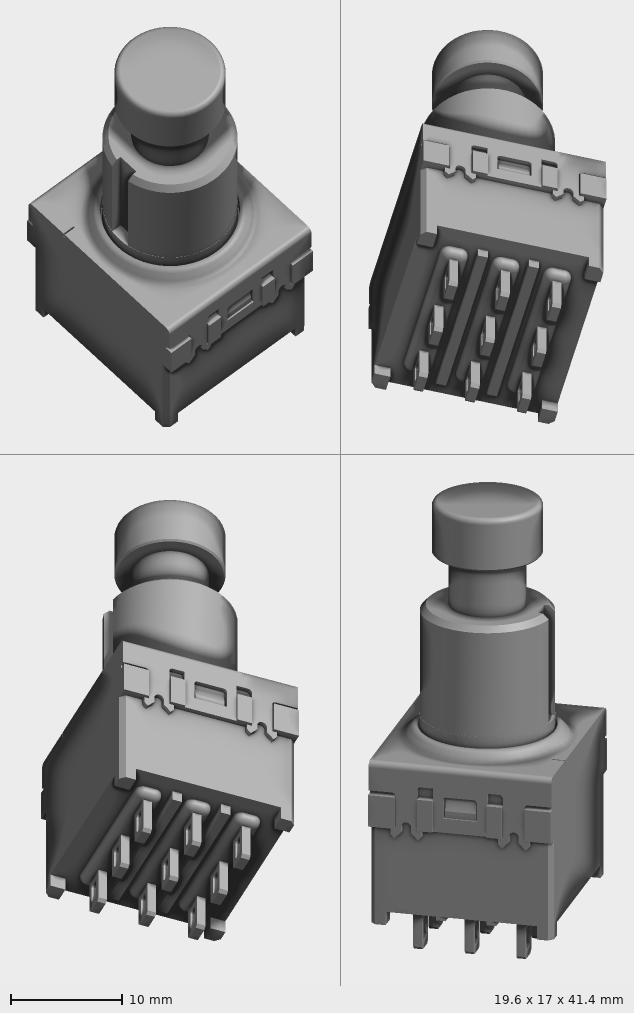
import cadquery as cq
import math


plunger_top = 22.5
terminal_bottom = -18.9

cap_dia = 10.0
cap_height = 5.0
cap_face_dia = 9.0
cap_bottom_chamfer = 0.15
stem_dia = 7.0
bushing_dia = 12.2
bushing_upper_dia = 12.17
bushing_top = 12.5
bushing_chamfer = 0.55
keyway_width = 2.15
keyway_floor = 2.0
keyway_depth = 1.1

collar_hole_radius = 6.3
collar_base_radius = 7.95
collar_height = 0.95
collar_slope = math.radians(45)
collar_bend_radius = 0.8

depth = 17.0
housing_width = 18.15
housing_bottom = -14.5
foot_bottom = -15.77
foot_length_x = 1.55
foot_length_y = 1.45
corner_chamfer = 0.45

sheet = 0.5
cover_width = housing_width + 2 * sheet
cover_bend_radius = 0.55
bend_end = -2 * sheet
housing_top_chamfer = 0.3
notch_left = -6.3
notch_width = 1.6
notch_length = 1.2
key_width = 1.45

ear_span = 19.6
ear_top = -3.15
ear_bottom = -6.15
outer_ear_start = 6.1
inner_ear_start = 2.53
inner_ear_end = 3.95

corner_cut_top = -2.77
corner_cut_radius = 0.35
slot_top = -2.03
slot_corner_radius = 0.37
leg_center = 5.0
leg_half_width = 1.0
barb_half_width = 1.45
barb_top = -6.25
barb_side_end = -6.8
barb_tip = -7.15
barb_tip_offset = 1.1
fork_half_width = 0.45
fork_bottom = -6.5
fork_top = -5.5

window_width = 3.15
window_top = -2.77
window_bottom = -4.8
window_corner_radius = 0.3
catch_width = 2.85
catch_slope_end = -4.15
catch_depth = 0.35

mound_length = 14.25
mound_width = 2.55
mound_bottom = -15.4
mound_round = 0.83
mound_bottom_round = 0.8
rib_length = 14.9
rib_width = 0.9
rib_center = 2.35
rib_bottom = -15.5
terminal_pitch_x = 5.3
terminal_pitch_y = 4.8
terminal_width = 2.1
terminal_thickness = 0.83
terminal_chamfer = 0.3
eye_width = 1.08
eye_top = -16.1
eye_bottom = -18.15
eye_fillet = 0.35


def block(x_range, y_range, z_range):
    """Axis-aligned box between the given limits."""
    (x0, x1), (y0, y1), (z0, z1) = x_range, y_range, z_range
    return cq.Workplane("XY").box(x1 - x0, y1 - y0, z1 - z0, centered=False).translate((x0, y0, z0))


def centered_block(length, width, z_range, center=(0, 0)):
    """Box given by its plan size, its height limits and its plan center."""
    x, y = center
    return block((x - length / 2, x + length / 2), (y - width / 2, y + width / 2), z_range)


def cylinder(diameter, bottom, top):
    """Cylinder about the plunger axis between two heights."""
    return cq.Workplane("XY").workplane(offset=bottom).circle(diameter / 2).extrude(top - bottom)


def both_sides(body, plane):
    """Body together with its mirror image."""
    return body.union(body.mirror(plane))


def make_plunger():
    cap_bottom = plunger_top - cap_height
    cap = cylinder(cap_dia, cap_bottom, plunger_top)
    cap = cap.faces(">Z").edges().fillet((cap_dia - cap_face_dia) / 2)
    cap = cap.faces("<Z").edges().chamfer(cap_bottom_chamfer)
    stem = cylinder(stem_dia, bushing_top, cap_bottom)
    return cap.union(stem)


def make_bushing():
    base = cylinder(bushing_dia, -sheet, keyway_floor)
    upper = cylinder(bushing_upper_dia, keyway_floor, bushing_top)
    upper = upper.faces(">Z").edges().chamfer(bushing_chamfer)
    keyway_inner = -(bushing_dia / 2 - keyway_depth)
    keyway = block(
        (-keyway_width / 2, keyway_width / 2),
        (-bushing_dia / 2, keyway_inner),
        (keyway_floor, bushing_top),
    )
    return base.union(upper.cut(keyway))


def make_collar():
    bend_run = collar_bend_radius * math.sin(collar_slope)
    bend_rise = collar_bend_radius * (1 - math.cos(collar_slope))
    slope_run = (collar_height - 2 * bend_rise) / math.tan(collar_slope)
    slope_start_r = collar_base_radius - bend_run
    slope_end_r = slope_start_r - slope_run
    rim_r = slope_end_r - bend_run
    profile = (
        cq.Workplane("XZ")
        .moveTo(collar_hole_radius, -sheet)
        .lineTo(collar_base_radius, -sheet)
        .lineTo(collar_base_radius, 0)
        .radiusArc((slope_start_r, bend_rise), collar_bend_radius)
        .lineTo(slope_end_r, collar_height - bend_rise)
        .radiusArc((rim_r, collar_height), -collar_bend_radius)
        .lineTo(collar_hole_radius, collar_height)
        .close()
    )
    return profile.revolve(360, (0, 0, 0), (0, 1, 0))


def key_block(width):
    """Block through the cover thickness at the front edge, for the key and for its notch."""
    return block(
        (notch_left, notch_left + width),
        (-depth / 2, -depth / 2 + notch_length),
        (-sheet, 0),
    )


def make_ear(y_start, y_end):
    return block((-ear_span / 2, ear_span / 2), (y_start, y_end), (ear_bottom, ear_top))


def make_catch():
    """Wedge that locks into the cover window on the +X side."""
    face_x = housing_width / 2
    return (
        cq.Workplane("XZ")
        .moveTo(face_x - sheet, ear_top)
        .lineTo(face_x, ear_top)
        .lineTo(face_x + catch_depth, catch_slope_end)
        .lineTo(face_x + catch_depth, window_bottom)
        .lineTo(face_x - sheet, window_bottom)
        .close()
        .extrude(catch_width / 2, both=True)
    )


def make_housing():
    upper = centered_block(housing_width, depth, (ear_bottom, -sheet))
    upper = upper.faces(">Z").edges("|Y").chamfer(housing_top_chamfer)
    lower = centered_block(housing_width, depth, (foot_bottom, ear_bottom))
    lower = lower.edges("|Z").chamfer(corner_chamfer)
    foot_gap = (foot_bottom, housing_bottom)
    lower = lower.cut(centered_block(housing_width - 2 * foot_length_x, depth, foot_gap))
    lower = lower.cut(centered_block(housing_width, depth - 2 * foot_length_y, foot_gap))
    ears = make_ear(outer_ear_start, depth / 2).union(make_ear(inner_ear_start, inner_ear_end))
    return (
        upper.union(lower)
        .union(both_sides(ears, "XZ"))
        .union(both_sides(make_catch(), "YZ"))
        .union(key_block(key_width))
    )


def make_cover_side():
    """Sheet on the +X side with its corner cuts, slots, forked legs and window."""
    leg_outer = leg_center + leg_half_width
    leg_inner = leg_center - leg_half_width
    tip_outer = leg_center + barb_tip_offset
    tip_inner = leg_center - barb_tip_offset
    barb_outer = leg_center + barb_half_width
    barb_inner = leg_center - barb_half_width
    fork_side_end = fork_top - fork_half_width
    half = (
        cq.Workplane("YZ")
        .workplane(offset=housing_width / 2)
        .moveTo(0, bend_end)
        .lineTo(depth / 2, bend_end)
        .lineTo(depth / 2, corner_cut_top)
        .lineTo(leg_outer + corner_cut_radius, corner_cut_top)
        .radiusArc((leg_outer, corner_cut_top - corner_cut_radius), -corner_cut_radius)
        .lineTo(leg_outer, barb_top)
        .lineTo(barb_outer, barb_top)
        .lineTo(barb_outer, barb_side_end)
        .lineTo(tip_outer, barb_tip)
        .lineTo(leg_center + fork_half_width, fork_bottom)
        .lineTo(leg_center + fork_half_width, fork_side_end)
        .threePointArc((leg_center, fork_top), (leg_center - fork_half_width, fork_side_end))
        .lineTo(leg_center - fork_half_width, fork_bottom)
        .lineTo(tip_inner, barb_tip)
        .lineTo(barb_inner, barb_side_end)
        .lineTo(barb_inner, barb_top)
        .lineTo(leg_inner, barb_top)
        .lineTo(leg_inner, slot_top - slot_corner_radius)
        .radiusArc((leg_inner - slot_corner_radius, slot_top), -slot_corner_radius)
        .lineTo(inner_ear_start, slot_top)
        .lineTo(inner_ear_start, ear_bottom)
        .lineTo(0, ear_bottom)
        .close()
        .extrude(sheet)
    )
    window = block(
        (housing_width / 2, cover_width / 2),
        (-window_width / 2, window_width / 2),
        (window_bottom, window_top),
    )
    window = window.faces(">Z").edges("|X").fillet(window_corner_radius)
    return both_sides(half, "XZ").cut(window)


def make_cover_top():
    """Bent top sheet that wraps over the housing, with the key notch in its -Y edge."""
    top = centered_block(cover_width, depth, (bend_end, 0))
    top = top.faces(">Z").edges("|Y").fillet(cover_bend_radius)
    inside = centered_block(housing_width, depth, (bend_end, -sheet))
    inside = inside.faces(">Z").edges("|Y").chamfer(housing_top_chamfer)
    opening = cylinder(2 * collar_hole_radius, -sheet, 0)
    return top.cut(inside).cut(key_block(notch_width)).cut(opening)


def make_terminal():
    """Solder terminal at the origin of the plan, with an eye through its thickness."""
    blade = centered_block(terminal_width, terminal_thickness, (terminal_bottom, housing_bottom))
    blade = blade.faces("<Z").edges("|Y").chamfer(terminal_chamfer)
    eye = centered_block(eye_width, terminal_thickness, (eye_bottom, eye_top))
    eye = eye.edges("|Y").fillet(eye_fillet)
    return blade.cut(eye)


def make_underside():
    """Resin mounds, ribs and the grid of terminals below the housing."""
    mound = centered_block(mound_length, mound_width, (mound_bottom, housing_bottom))
    mound = mound.edges("|Z").fillet(mound_round).faces("<Z").edges().fillet(mound_bottom_round)
    rib = centered_block(rib_length, rib_width, (rib_bottom, housing_bottom), (0, rib_center))
    terminal = make_terminal()
    underside = both_sides(rib, "XZ")
    for row in (-1, 0, 1):
        y = row * terminal_pitch_y
        underside = underside.union(mound.translate((0, y, 0)))
        for column in (-1, 0, 1):
            underside = underside.union(terminal.translate((column * terminal_pitch_x, y, 0)))
    return underside


switch_body = make_housing().union(make_underside())
cover = make_cover_top().union(both_sides(make_cover_side(), "YZ"))

result = switch_body.union(cover, clean=False)
for piece in (make_collar(), make_bushing(), make_plunger()):
    result = result.union(piece, clean=False)